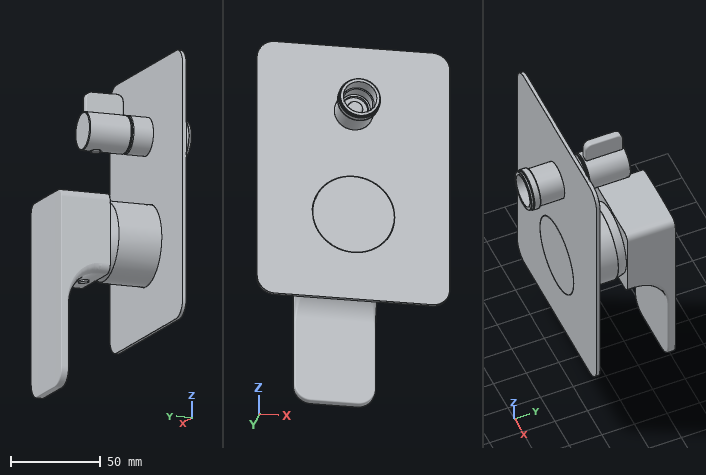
import cadquery as cq
import math


PLATE_WIDTH = 110
PLATE_HEIGHT = 155
PLATE_THICKNESS = 2.2
PLATE_CORNER_RADIUS = 10

MIXER_Z = 52
SLEEVE_DIAMETER = 46.5
SLEEVE_CLEARANCE = 0.25
SLEEVE_FRONT_Y = 27.75
SLEEVE_EDGE = 0.5
DOME_BASE_RADIUS = 22.6
DOME_MIDDLE_RADIUS = 22.3
DOME_TOP_RADIUS = 21.4

LEVER_WIDTH = 46.5
LEVER_BACK_Y = 33.25
LEVER_FRONT_Y = 63.08
LEVER_BOTTOM_Z = -38
HANDLE_THICKNESS = 5
HANDLE_CORNER_RADIUS = 10
BLOCK_CORNER_RADIUS = 5
COVE_RADIUS = 20
HANDLE_EDGE_RADIUS = 1
FRONT_CROWN = 0.35
FRONT_EDGE_RADIUS = 0.5

DIVERTER_Z = 115
PIPE_DIAMETER = 22
PIPE_BACK_Y = -20.75
PIPE_FRONT_Y = 14.5
COLLAR_DIAMETER = 24
COLLAR_BACK_Y = -19.2
COLLAR_FRONT_Y = -14.9
COLLAR_EDGE = 0.4
RIM_DIAMETER = 23
RIM_LENGTH = 1.5
RIM_EDGE = 0.3
MOUTH_DIAMETER = 19
MOUTH_DEPTH = 8.5
BORE_DIAMETER = 17.4
BORE_DEPTH = 16
SEAT_DIAMETER = 15.2
SEAT_DEPTH = 18
POPPET_DIAMETER = 9
POPPET_LENGTH = 3
POPPET_EDGE_RADIUS = 1.7
PIPE_EDGE = 0.5
NECK_DIAMETER = 18

KNOB_BACK_Y = 15.2
KNOB_FRONT_Y = 40.75
KNOB_EDGE = 0.5
GRIP_WIDTH = 5
GRIP_TOP_Z = 137.6
GRIP_BACK_Y = 16.75
GRIP_FRONT_Y = 39.75
GRIP_CORNER_RADIUS = 4
GRIP_EDGE_RADIUS = 1

PLUG_DIAMETER = 6
PLUG_LENGTH = 4
KNOB_PLUG_Y = 32.75
LEVER_PLUG_TILT = 6
KNOB_PLUG_PROUD = 0.5
LEVER_PLUG_PROUD = 1

BLOCK_TOP_Z = MIXER_Z + LEVER_WIDTH / 2
BLOCK_BOTTOM_Z = MIXER_Z - LEVER_WIDTH / 2
HANDLE_BACK_Y = LEVER_FRONT_Y - HANDLE_THICKNESS
COVE_CENTRE_Y = HANDLE_BACK_Y - COVE_RADIUS
COVE_CENTRE_Z = BLOCK_BOTTOM_Z - COVE_RADIUS


def disc(diameter, back_y, front_y, z):
    """Cylinder along Y between two Y planes, centred on x = 0 at height z."""
    plane = cq.Plane(origin=(0, back_y, z), xDir=(1, 0, 0), normal=(0, 1, 0))
    return cq.Workplane(plane).circle(diameter / 2).extrude(front_y - back_y)


def make_plug(face_centre, tilt):
    """Round plug reaching into a lever or knob from its outer face.

    The plug stands upright when its tilt is zero; a tilt in degrees leans its inner end toward +Y.
    """
    lean = math.radians(tilt)
    inward = (0, math.sin(lean), math.cos(lean))
    plane = cq.Plane(origin=face_centre, xDir=(1, 0, 0), normal=inward)
    return cq.Workplane(plane).circle(PLUG_DIAMETER / 2).extrude(PLUG_LENGTH)


def make_plate():
    slab = (
        cq.Workplane("XY")
        .box(PLATE_WIDTH, PLATE_THICKNESS, PLATE_HEIGHT, centered=(True, False, False))
        .edges("|Y")
        .fillet(PLATE_CORNER_RADIUS)
    )
    sleeve_hole = disc(SLEEVE_DIAMETER + 2 * SLEEVE_CLEARANCE, 0, PLATE_THICKNESS, MIXER_Z)
    pipe_hole = disc(PIPE_DIAMETER, 0, PLATE_THICKNESS, DIVERTER_Z)
    return slab.cut(sleeve_hole).cut(pipe_hole)


def make_sleeve():
    return disc(SLEEVE_DIAMETER, 0, SLEEVE_FRONT_Y, MIXER_Z).faces(">Y").edges().fillet(SLEEVE_EDGE)


def make_dome():
    """Domed cartridge cap: a shallow convex arc turned about the mixer axis."""
    return (
        cq.Workplane("XY", origin=(0, 0, MIXER_Z))
        .moveTo(0, SLEEVE_FRONT_Y)
        .lineTo(DOME_BASE_RADIUS, SLEEVE_FRONT_Y)
        .threePointArc(
            (DOME_MIDDLE_RADIUS, (SLEEVE_FRONT_Y + LEVER_BACK_Y) / 2),
            (DOME_TOP_RADIUS, LEVER_BACK_Y),
        )
        .lineTo(0, LEVER_BACK_Y)
        .close()
        .revolve(360, (0, 0, 0), (0, 1, 0))
    )


def round_underside(lever):
    """Round the tangent chain of edges along the block, cove and handle.

    The radius is full on the block, shrinks along the cove and stays small around the handle.
    """
    block_side = (LEVER_WIDTH / 2, (LEVER_BACK_Y + COVE_CENTRE_Y) / 2, BLOCK_BOTTOM_Z)
    first_edge = lever.edges(cq.selectors.NearestToPointSelector(block_side)).val()
    fillet = cq.occ_impl.shapes.BRepFilletAPI_MakeFillet(lever.val().wrapped)
    fillet.Add(first_edge.wrapped)

    block, cove, other_cove, other_block = 1, 2, 8, 9
    for position in range(1, fillet.NbEdges(1) + 1):
        if position in (block, other_block):
            fillet.SetRadius(BLOCK_CORNER_RADIUS, 1, position)
        elif position == cove:
            fillet.SetRadius(BLOCK_CORNER_RADIUS, HANDLE_EDGE_RADIUS, 1, position)
        elif position == other_cove:
            fillet.SetRadius(HANDLE_EDGE_RADIUS, BLOCK_CORNER_RADIUS, 1, position)
        else:
            fillet.SetRadius(HANDLE_EDGE_RADIUS, 1, position)
    return cq.Workplane(cq.Shape.cast(fillet.Shape())).solids()


def make_lever():
    profile = (
        cq.Workplane("YZ", origin=(-LEVER_WIDTH / 2, 0, 0))
        .moveTo(LEVER_BACK_Y, BLOCK_TOP_Z)
        .lineTo(LEVER_FRONT_Y, BLOCK_TOP_Z)
        .lineTo(LEVER_FRONT_Y, LEVER_BOTTOM_Z)
        .lineTo(HANDLE_BACK_Y, LEVER_BOTTOM_Z)
        .lineTo(HANDLE_BACK_Y, COVE_CENTRE_Z)
        .radiusArc((COVE_CENTRE_Y, BLOCK_BOTTOM_Z), -COVE_RADIUS)
        .lineTo(LEVER_BACK_Y, BLOCK_BOTTOM_Z)
        .close()
        .extrude(LEVER_WIDTH)
    )
    plan = (
        cq.Workplane("XY", origin=(0, 0, LEVER_BOTTOM_Z))
        .moveTo(-LEVER_WIDTH / 2, LEVER_BACK_Y)
        .lineTo(-LEVER_WIDTH / 2, LEVER_FRONT_Y - FRONT_CROWN)
        .threePointArc((0, LEVER_FRONT_Y), (LEVER_WIDTH / 2, LEVER_FRONT_Y - FRONT_CROWN))
        .lineTo(LEVER_WIDTH / 2, LEVER_BACK_Y)
        .close()
        .extrude(BLOCK_TOP_Z - LEVER_BOTTOM_Z)
    )
    lever = profile.intersect(plan)
    lever = lever.edges("|Y").edges(">Z").fillet(BLOCK_CORNER_RADIUS)
    lever = lever.edges("|Y").edges("<Z").fillet(HANDLE_CORNER_RADIUS)
    lever = round_underside(lever)
    return lever.faces(">Y").edges().fillet(FRONT_EDGE_RADIUS)


def make_pipe():
    pipe = disc(PIPE_DIAMETER, PIPE_BACK_Y, PIPE_FRONT_Y, DIVERTER_Z).faces(">Y").edges().chamfer(PIPE_EDGE)
    collar = disc(COLLAR_DIAMETER, COLLAR_BACK_Y, COLLAR_FRONT_Y, DIVERTER_Z)
    collar = collar.edges().chamfer(COLLAR_EDGE)
    rim = disc(RIM_DIAMETER, PIPE_BACK_Y, PIPE_BACK_Y + RIM_LENGTH, DIVERTER_Z)
    rim = rim.faces("<Y").edges().chamfer(RIM_EDGE)
    neck = disc(NECK_DIAMETER, PIPE_FRONT_Y, KNOB_BACK_Y, DIVERTER_Z)
    pipe = pipe.union(rim).union(collar).union(neck)

    for diameter, depth in (
        (MOUTH_DIAMETER, MOUTH_DEPTH),
        (BORE_DIAMETER, BORE_DEPTH),
        (SEAT_DIAMETER, SEAT_DEPTH),
    ):
        pipe = pipe.cut(disc(diameter, PIPE_BACK_Y, PIPE_BACK_Y + depth, DIVERTER_Z))

    floor_y = PIPE_BACK_Y + SEAT_DEPTH
    poppet = disc(POPPET_DIAMETER, floor_y - POPPET_LENGTH, floor_y, DIVERTER_Z)
    return pipe.union(poppet.faces("<Y").edges().fillet(POPPET_EDGE_RADIUS))


def make_knob():
    barrel = disc(PIPE_DIAMETER, KNOB_BACK_Y, KNOB_FRONT_Y, DIVERTER_Z).edges().chamfer(KNOB_EDGE)
    grip = (
        cq.Workplane("XY", origin=(0, GRIP_BACK_Y, DIVERTER_Z))
        .box(GRIP_WIDTH, GRIP_FRONT_Y - GRIP_BACK_Y, GRIP_TOP_Z - DIVERTER_Z, centered=(True, False, False))
        .edges("|X and >Z")
        .fillet(GRIP_CORNER_RADIUS)
        .faces(">X or <X")
        .edges("not <Z")
        .fillet(GRIP_EDGE_RADIUS)
    )
    return barrel.union(grip)


plate = make_plate()
sleeve = make_sleeve()
dome = make_dome()
pipe = make_pipe()

lever_plug_radius = COVE_RADIUS - LEVER_PLUG_PROUD
lever_plug_y = COVE_CENTRE_Y + lever_plug_radius * math.sin(math.radians(LEVER_PLUG_TILT))
lever_plug_z = COVE_CENTRE_Z + lever_plug_radius * math.cos(math.radians(LEVER_PLUG_TILT))
lever_plug = make_plug((0, lever_plug_y, lever_plug_z), LEVER_PLUG_TILT)
lever = make_lever().cut(lever_plug)

knob_plug_z = DIVERTER_Z - PIPE_DIAMETER / 2 - KNOB_PLUG_PROUD
knob_plug = make_plug((0, KNOB_PLUG_Y, knob_plug_z), 0)
knob = make_knob().cut(knob_plug)

result = cq.Compound.makeCompound(
    [
        plate.val(),
        sleeve.val(),
        dome.val(),
        lever.val(),
        lever_plug.val(),
        pipe.val(),
        knob.val(),
        knob_plug.val(),
    ]
)